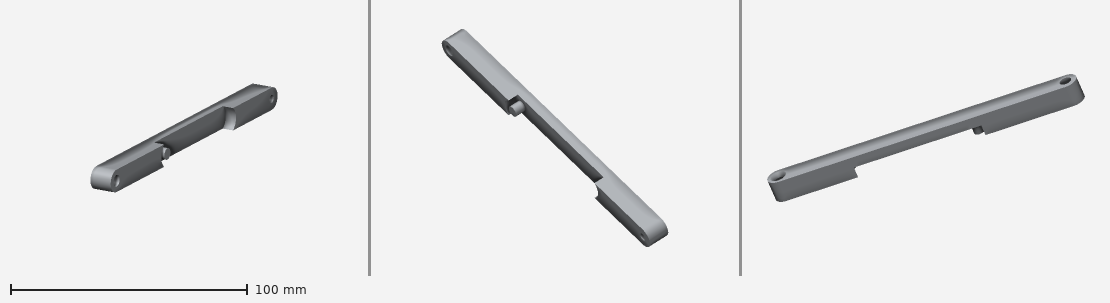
import cadquery as cq
import math

length = 140.0
height = 10.0
thickness = 10.0
end_radius = height / 2
hole_offset = length / 2 - end_radius

plain_hole_diameter = 5.2
screw_hole_diameter = 3.5
countersink_diameter = 7.1
countersink_angle = 90

web_thickness = 4.9
recess_start = -25.0
recess_end = 32.6
pin_diameter = 5.0
pin_y = -22.4
scoop_radius = 6.2
recess_depth = thickness - web_thickness
scoop_edge_offset = math.sqrt(scoop_radius**2 - end_radius**2)
near_scoop_y = recess_start + scoop_edge_offset
far_scoop_y = recess_end - scoop_edge_offset

outer_face_x = -thickness / 2
web_face_x = outer_face_x + web_thickness


def recess_cylinder(y, diameter):
    """Cylinder along X filling the depth of the recess."""
    plane = cq.Workplane("YZ", origin=(web_face_x, y, 0))
    return plane.circle(diameter / 2).extrude(recess_depth)


def bar():
    plane = cq.Workplane("YZ", origin=(outer_face_x, 0, 0))
    return plane.slot2D(length, height).extrude(thickness)


def recess():
    recess_length = recess_end - recess_start
    plane = cq.Workplane("YZ", origin=(web_face_x, (recess_start + recess_end) / 2, 0))
    cutter = plane.rect(recess_length, height).extrude(recess_depth)
    for y in (near_scoop_y, far_scoop_y):
        cutter = cutter.union(recess_cylinder(y, 2 * scoop_radius))
    return cutter


def drill_end_holes(body):
    outer_face = body.faces("<X").workplane(origin=(outer_face_x, 0, 0))
    body = outer_face.pushPoints([(hole_offset, 0)]).hole(plain_hole_diameter)
    outer_face = body.faces("<X").workplane(origin=(outer_face_x, 0, 0))
    return outer_face.pushPoints([(-hole_offset, 0)]).cskHole(
        screw_hole_diameter, countersink_diameter, countersink_angle
    )


recessed_bar = bar().cut(recess()).union(recess_cylinder(pin_y, pin_diameter))
result = drill_end_holes(recessed_bar)